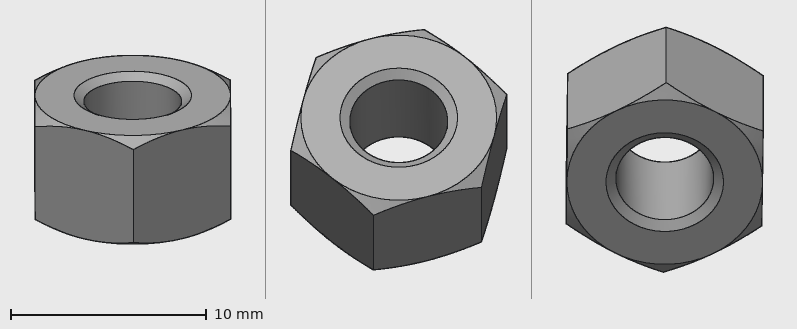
import cadquery as cq
import math

across_corners = 11.55
height = 6.1
bore_diameter = 5.0
countersink_diameter = 6.01
countersink_depth = 0.33
corner_chamfer_angle = 30.0

corner_radius = across_corners / 2
flat_radius = corner_radius * math.cos(math.radians(30))
corner_drop = (corner_radius - flat_radius) * math.tan(math.radians(corner_chamfer_angle))
bore_radius = bore_diameter / 2
countersink_radius = countersink_diameter / 2


def hex_prism():
    """Hexagonal prism standing on Z = 0, with two corners on the Y axis."""
    hexagon = cq.Workplane("XY").transformed(rotate=(0, 0, 90)).polygon(6, across_corners)
    return hexagon.extrude(height)


def chamfer_envelope():
    """Solid of revolution whose conical ends trim the corners of the prism."""
    profile = [
        (0, 0),
        (flat_radius, 0),
        (corner_radius, corner_drop),
        (corner_radius, height - corner_drop),
        (flat_radius, height),
        (0, height),
    ]
    return cq.Workplane("XZ").polyline(profile).close().revolve(360, (0, 0), (0, 1))


def countersunk_bore():
    """Through bore that widens conically at both ends."""
    profile = [
        (0, 0),
        (countersink_radius, 0),
        (bore_radius, countersink_depth),
        (bore_radius, height - countersink_depth),
        (countersink_radius, height),
        (0, height),
    ]
    return cq.Workplane("XZ").polyline(profile).close().revolve(360, (0, 0), (0, 1))


result = hex_prism().intersect(chamfer_envelope()).cut(countersunk_bore())